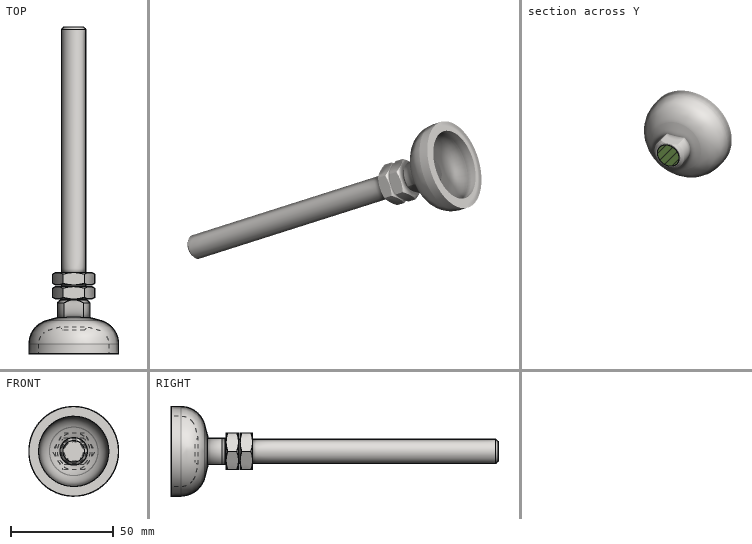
import cadquery as cq
import math

length = 160.0

cup_radius = 22.0
cup_wall = 4.8
rim_height = 4.8
shoulder_radius = 12.0
cone_slope = math.radians(15)

hub_radius = 8.0
hub_flat_width = 13.0
hub_top = 26.4
hub_chamfer = 1.5

stud_radius = 6.7
stud_face_radius = 5.3
stud_drop = 1.5

rod_radius = 6.0
rod_chamfer = 1.3
nut_width = 18.0
nut_height = 6.0
nut_starts = (26.9, 33.8)
nut_chamfer_angle = math.radians(30)

shoulder_center = cup_radius - shoulder_radius


def revolve_about_y(profile):
    return profile.close().revolve(360, (0, 0, 0), (0, 1, 0))


def shoulder_point(radius, angle):
    """Point on a shoulder arc, with the angle measured up from the radial direction."""
    return (
        shoulder_center + radius * math.cos(angle),
        rim_height + radius * math.sin(angle),
    )


def cone_height(radius, arc_radius):
    """Height of the cone tangent to a shoulder arc, at a distance from the axis."""
    arc_end_r, arc_end_y = shoulder_point(arc_radius, math.pi / 2 - cone_slope)
    return arc_end_y + (arc_end_r - radius) * math.tan(cone_slope)


def domed_solid(arc_radius):
    """Solid dome; the outside and the cavity share their shoulder center."""
    end_angle = math.pi / 2 - cone_slope
    return revolve_about_y(
        cq.Workplane("XY")
        .lineTo(shoulder_center + arc_radius, 0)
        .lineTo(shoulder_center + arc_radius, rim_height)
        .threePointArc(shoulder_point(arc_radius, end_angle / 2), shoulder_point(arc_radius, end_angle))
        .lineTo(0, cone_height(0, arc_radius))
    )


def make_hub():
    hub_bottom = cone_height(hub_radius, shoulder_radius - cup_wall / 2)
    hub = revolve_about_y(
        cq.Workplane("XY")
        .moveTo(0, hub_bottom)
        .lineTo(hub_radius, hub_bottom)
        .lineTo(hub_radius, hub_top - hub_chamfer)
        .lineTo(hub_radius - hub_chamfer, hub_top)
        .lineTo(0, hub_top)
    )
    flats = cq.Workplane("XY").box(2 * hub_radius, 2 * hub_top, hub_flat_width)
    return hub.intersect(flats)


def make_stud_end():
    stud_top = cone_height(hub_radius, shoulder_radius)
    stud_edge = cone_height(stud_radius, shoulder_radius - cup_wall)
    stud_face = stud_edge - stud_drop
    return revolve_about_y(
        cq.Workplane("XY")
        .moveTo(0, stud_face)
        .lineTo(stud_face_radius, stud_face)
        .lineTo(stud_radius, stud_edge)
        .lineTo(stud_radius, stud_top)
        .lineTo(0, stud_top)
    )


def make_rod():
    rod_bottom = cone_height(0, shoulder_radius)
    return revolve_about_y(
        cq.Workplane("XY")
        .moveTo(0, rod_bottom)
        .lineTo(rod_radius, rod_bottom)
        .lineTo(rod_radius, length - rod_chamfer)
        .lineTo(rod_radius - rod_chamfer, length)
        .lineTo(0, length)
    )


def make_nut(start):
    """Hex nut with two corners on X and both faces chamfered by a cone."""
    corner_radius = nut_width / 2 / math.cos(math.pi / 6)
    face_radius = nut_width / 2
    chamfer_height = (corner_radius - face_radius) * math.tan(nut_chamfer_angle)
    end = start + nut_height
    hexagon = (
        cq.Workplane("XZ", origin=(0, start, 0))
        .polygon(6, 2 * corner_radius)
        .extrude(-nut_height)
    )
    envelope = revolve_about_y(
        cq.Workplane("XY")
        .moveTo(0, start)
        .lineTo(face_radius, start)
        .lineTo(corner_radius, start + chamfer_height)
        .lineTo(corner_radius, end - chamfer_height)
        .lineTo(face_radius, end)
        .lineTo(0, end)
    )
    return hexagon.intersect(envelope)


cup = domed_solid(shoulder_radius).cut(domed_solid(shoulder_radius - cup_wall))
result = cup.union(make_hub()).union(make_stud_end()).union(make_rod())
for nut_start in nut_starts:
    result = result.union(make_nut(nut_start))